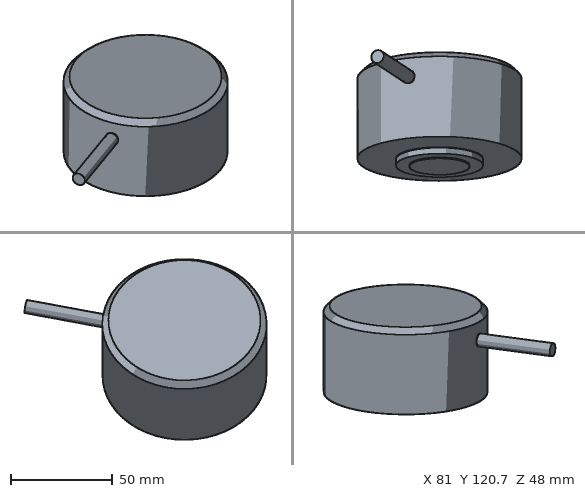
import cadquery as cq

housing_diameter = 81.0
housing_height = 44.0
housing_chamfer = 3.0

flange_diameter = 43.0
flange_height = 3.0
washer_height = 0.4
button_diameter = 29.7
button_height = 0.6

overall_length = 120.7
cable_diameter = 6.6
cable_drop = 12.5
socket_depth = 0.4

housing_radius = housing_diameter / 2
cable_length = overall_length - housing_diameter + socket_depth
cable_z = housing_height - cable_drop
cable_start_y = socket_depth - housing_radius
flange_top = -washer_height
button_top = flange_top - flange_height


def disc(diameter, top, height):
    """Round disc on the Z axis, reaching down from the level top."""
    return cq.Workplane("XY", origin=(0, 0, top)).circle(diameter / 2).extrude(-height)


def make_cable():
    """Straight round cable with flat ends, running toward -Y."""
    start = cq.Workplane("XZ", origin=(0, cable_start_y, cable_z))
    return start.circle(cable_diameter / 2).extrude(cable_length)


def make_housing(cable):
    """Can with a chamfered top rim and a socket that fits the cable end."""
    body = disc(housing_diameter, housing_height, housing_height)
    body = body.faces(">Z").chamfer(housing_chamfer)
    return body.cut(cable)


cable = make_cable()
housing = make_housing(cable)
washer = disc(flange_diameter, 0, washer_height)
flange = disc(flange_diameter, flange_top, flange_height)
button = disc(button_diameter, button_top, button_height)

result = cq.Compound.makeCompound(
    [housing.val(), cable.val(), washer.val(), flange.val(), button.val()]
)